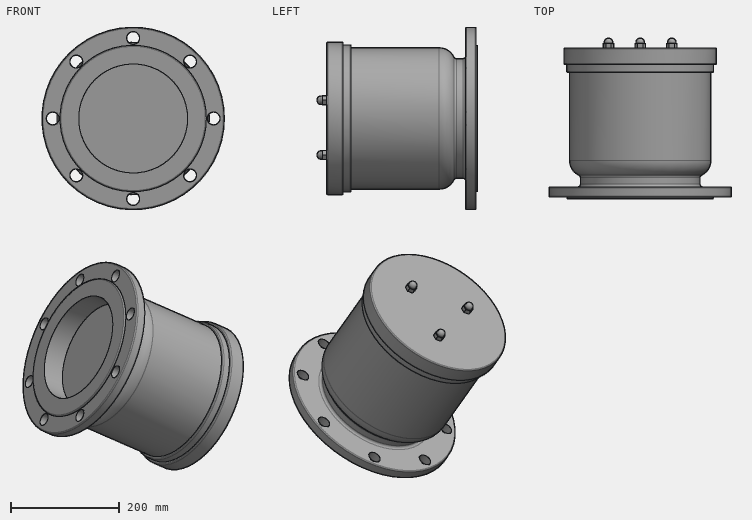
import cadquery as cq
import math


FLANGE_DIAMETER = 335.0
FLANGE_THICKNESS = 19.0
RAISED_FACE_DIAMETER = 268.7
RAISED_FACE_HEIGHT = 3.0
BOLT_CIRCLE_DIAMETER = 295.0
BOLT_HOLE_DIAMETER = 23.0
BOLT_HOLE_COUNT = 8

BORE_DIAMETER = 200.0
BORE_DEPTH = 42.5
NECK_DIAMETER = 220.0
NECK_FILLET = 5.0
BARREL_DIAMETER = 260.0
SHOULDER_RADIUS = 30.0
SHOULDER_END_Y = 70.7

COLLAR_DIAMETER = 270.0
COLLAR_WIDTH = 14.7
COVER_DIAMETER = 280.0
COVER_THICKNESS = 30.0
COVER_BACK_Y = 277.0
RIM_RADIUS = 2.0

NUT_COUNT = 3
FIRST_NUT_ANGLE = 30.0
NUT_CIRCLE_RADIUS = 67.0
NUT_SIDES = 6
NUT_ACROSS_FLATS = 17.0
NUT_HEX_HEIGHT = 8.0
NUT_CAP_DIAMETER = 16.0
NUT_HEIGHT = 18.0

FLANGE_BACK_Y = RAISED_FACE_HEIGHT + FLANGE_THICKNESS
COVER_FRONT_Y = COVER_BACK_Y - COVER_THICKNESS
COLLAR_FRONT_Y = COVER_FRONT_Y - COLLAR_WIDTH


def disc(diameter, start_y, end_y):
    """Cylinder on the Y axis between two Y positions."""
    length = end_y - start_y
    return cq.Workplane("XZ", origin=(0, start_y, 0)).circle(diameter / 2).extrude(-length)


def make_flange():
    flange = disc(FLANGE_DIAMETER, RAISED_FACE_HEIGHT, FLANGE_BACK_Y).edges().fillet(RIM_RADIUS)
    raised_face = disc(RAISED_FACE_DIAMETER, 0, FLANGE_BACK_Y)
    raised_face = raised_face.faces("<Y").edges().fillet(RIM_RADIUS)
    return flange.union(raised_face)


def make_neck_and_barrel():
    """Revolved neck and barrel with a rounded shoulder, blended into the neck at both ends."""
    neck_radius = NECK_DIAMETER / 2
    barrel_radius = BARREL_DIAMETER / 2
    blend_center_r = neck_radius + NECK_FILLET
    shoulder_center_r = barrel_radius - SHOULDER_RADIUS

    center_distance = SHOULDER_RADIUS + NECK_FILLET
    offset_r = blend_center_r - shoulder_center_r
    offset_y = math.sqrt(center_distance**2 - offset_r**2)
    blend_y = SHOULDER_END_Y - offset_y
    touch_share = SHOULDER_RADIUS / center_distance
    touch_point = (
        shoulder_center_r + touch_share * offset_r,
        SHOULDER_END_Y - touch_share * offset_y,
    )

    touch_angle = math.atan2(offset_y, offset_r)
    half_touch_angle = touch_angle / 2
    blend_mid = (
        blend_center_r - NECK_FILLET * math.cos(half_touch_angle),
        blend_y + NECK_FILLET * math.sin(half_touch_angle),
    )
    shoulder_mid = (
        shoulder_center_r + SHOULDER_RADIUS * math.cos(half_touch_angle),
        SHOULDER_END_Y - SHOULDER_RADIUS * math.sin(half_touch_angle),
    )
    diagonal = math.cos(math.radians(45))
    root_mid = (blend_center_r - NECK_FILLET * diagonal, FLANGE_BACK_Y + NECK_FILLET * (1 - diagonal))

    profile = (
        cq.Workplane("XY")
        .moveTo(0, FLANGE_BACK_Y)
        .lineTo(blend_center_r, FLANGE_BACK_Y)
        .threePointArc(root_mid, (neck_radius, FLANGE_BACK_Y + NECK_FILLET))
        .lineTo(neck_radius, blend_y)
        .threePointArc(blend_mid, touch_point)
        .threePointArc(shoulder_mid, (barrel_radius, SHOULDER_END_Y))
        .lineTo(barrel_radius, COLLAR_FRONT_Y)
        .lineTo(0, COLLAR_FRONT_Y)
        .close()
    )
    return profile.revolve(360, (0, 0, 0), (0, 1, 0))


def make_collar_and_cover():
    collar = disc(COLLAR_DIAMETER, COLLAR_FRONT_Y, COVER_FRONT_Y)
    collar = collar.faces("<Y").edges().fillet(RIM_RADIUS)
    cover = disc(COVER_DIAMETER, COVER_FRONT_Y, COVER_BACK_Y).edges().fillet(RIM_RADIUS)
    return collar.union(cover)


def make_bolt_holes():
    return (
        cq.Workplane("XZ")
        .polarArray(BOLT_CIRCLE_DIAMETER / 2, 0, 360, BOLT_HOLE_COUNT)
        .circle(BOLT_HOLE_DIAMETER / 2)
        .extrude(-FLANGE_BACK_Y)
    )


def make_valve_body():
    solid = make_flange().union(make_neck_and_barrel()).union(make_collar_and_cover())
    inlet_bore = disc(BORE_DIAMETER, 0, BORE_DEPTH)
    return solid.cut(inlet_bore).cut(make_bolt_holes())


def make_cap_nut(x, z):
    """Hexagon nut with corners along X and a domed cap, standing on the cover."""
    cap_radius = NUT_CAP_DIAMETER / 2
    dome_height = NUT_HEIGHT - cap_radius
    across_corners = NUT_ACROSS_FLATS / math.cos(math.pi / NUT_SIDES)
    seat = cq.Workplane("XZ", origin=(x, COVER_BACK_Y, z))
    hexagon = seat.polygon(NUT_SIDES, across_corners).extrude(-NUT_HEX_HEIGHT)
    cap_base = seat.circle(cap_radius).extrude(-dome_height)
    dome_center = (x, COVER_BACK_Y + dome_height, z)
    dome = cq.Workplane("XY").sphere(cap_radius).translate(dome_center)
    return hexagon.union(cap_base).union(dome)


valve_body = make_valve_body()

cap_nuts = []
for index in range(NUT_COUNT):
    nut_angle = math.radians(FIRST_NUT_ANGLE + index * 360 / NUT_COUNT)
    nut_x = NUT_CIRCLE_RADIUS * math.cos(nut_angle)
    nut_z = NUT_CIRCLE_RADIUS * math.sin(nut_angle)
    cap_nuts.append(make_cap_nut(nut_x, nut_z).val())

result = cq.Compound.makeCompound([valve_body.val(), *cap_nuts])